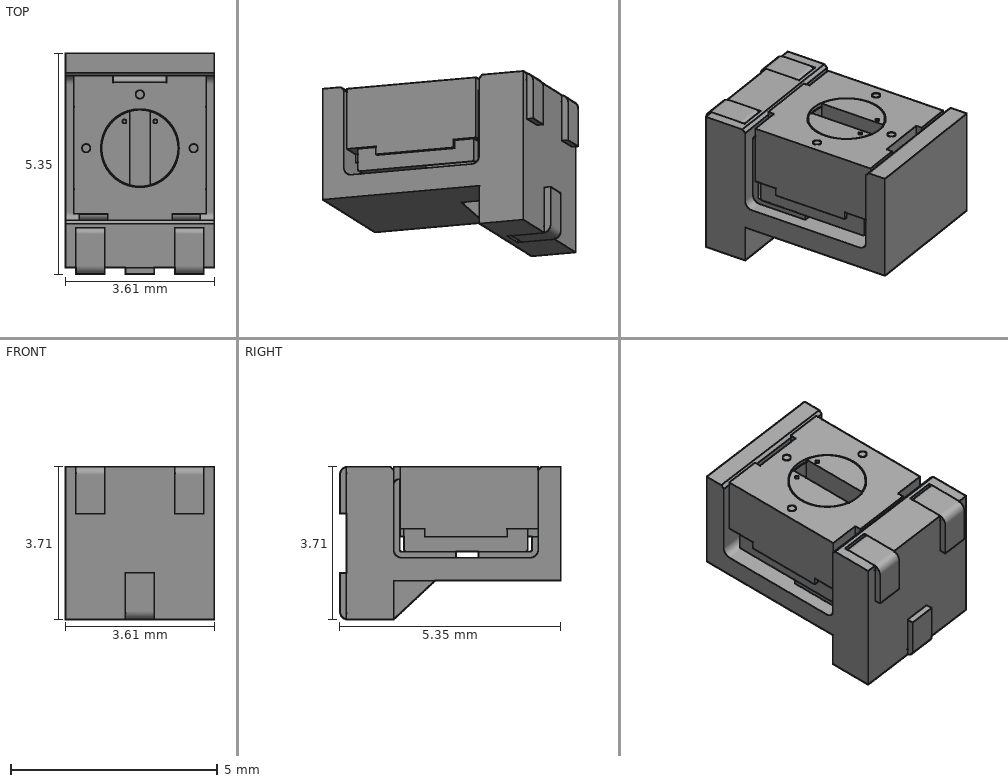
import cadquery as cq


WIDTH = 3.61
HEIGHT = 3.71
BLOCK_DEPTH = 1.14
BAY_LENGTH = 3.505
WALL_THICKNESS = 0.55
FLOOR_THICKNESS = 0.56
BAY_RADIUS = 0.2
RIM_CHAMFER = 0.08
GUSSET_LENGTH = 1.01
GUSSET_WIDTH = 0.7

TERMINAL_WIDTH = 0.7
TERMINAL_THICKNESS = 0.16
TERMINAL_BEND_RADIUS = 0.2
TERMINAL_END_RADIUS = 0.145
TERMINAL_REACH = 0.96
TERMINAL_HEIGHT = 1.135
TOP_TERMINAL_X = 1.2

CONTACT_THICKNESS = 0.15
CONTACT_TOP_RADIUS = 0.145
CONTACT_DROP = 0.3
FRONT_CONTACT_WIDTH = 0.68
FRONT_CONTACT_X = 1.125
FRONT_FOOT_LENGTH = 1.515
REAR_CONTACT_WIDTH = 1.285
REAR_FOOT_LENGTH = 1.45

COVER_WIDTH = 3.205
COVER_HEIGHT = 1.5
COVER_NOTCH_DEPTH = 0.16
FRONT_BRIDGE_WIDTH = 1.57
REAR_NOTCH_WIDTH = 1.31
SKIRT_WIDTH = 2.0
SKIRT_HEIGHT = 0.2
BASE_SIDE = 3.0
BASE_HEIGHT = 0.56
BASE_EDGE_RADIUS = 0.045

ROOF_THICKNESS = 0.1
ROTOR_RADIUS = 0.925
ROTOR_GAP = 0.02
SHOULDER_RADIUS = 1.07
SLOT_WIDTH = 0.505
SLOT_DEPTH = 0.6

MARK_DEPTH = 0.02
COVER_MARK_RADIUS = 0.1
COVER_MARK_OFFSET = 1.3
ROTOR_MARK_RADIUS = 0.05
ROTOR_MARK_X = 0.375
ROTOR_MARK_Y = 0.65

BAY_FRONT = BLOCK_DEPTH
BAY_REAR = BAY_FRONT + BAY_LENGTH
BAY_MIDDLE = (BAY_FRONT + BAY_REAR) / 2
HOUSING_DEPTH = BAY_REAR + WALL_THICKNESS
COVER_BOTTOM = HEIGHT - COVER_HEIGHT
BASE_BOTTOM = COVER_BOTTOM - BASE_HEIGHT
BAY_FLOOR = BASE_BOTTOM - CONTACT_THICKNESS
HOUSING_UNDERSIDE = BAY_FLOOR - FLOOR_THICKNESS
CONTACT_TOP = HEIGHT - CONTACT_DROP
SHOULDER_HEIGHT = COVER_HEIGHT - ROOF_THICKNESS


def box(width, depth, height, x_middle, y_front, z_bottom):
    """Block centred on x_middle, rising from z_bottom and running back from y_front."""
    block = cq.Workplane("XY").box(width, depth, height, centered=(True, False, False))
    return block.translate((x_middle, y_front, z_bottom))


def cylinder(radius, height, x, y, z_bottom):
    """Upright cylinder."""
    return cq.Workplane("XY").circle(radius).extrude(height).translate((x, y, z_bottom))


def extrude_across(profile, width, x_middle):
    """Extrude a Y-Z profile along X, centred on x_middle."""
    return profile.extrude(width / 2, both=True).translate((x_middle, 0, 0))


def mirror_in_height(body):
    """Mirror a body top to bottom about the middle height of the housing."""
    return body.mirror("XY", (0, 0, HEIGHT / 2))


def mirror_in_bay(body):
    """Mirror a body front to rear about the middle of the bay."""
    return body.mirror("XZ", (0, BAY_MIDDLE, 0))


def make_terminal(x_middle):
    """Strip on top of the housing that bends down over its front face; the rear end is rounded."""
    strip_bottom = HEIGHT - TERMINAL_THICKNESS
    profile = (
        cq.Workplane("YZ")
        .moveTo(-TERMINAL_THICKNESS, HEIGHT)
        .lineTo(TERMINAL_REACH, HEIGHT)
        .lineTo(TERMINAL_REACH, strip_bottom)
        .lineTo(0, strip_bottom)
        .lineTo(0, HEIGHT - TERMINAL_HEIGHT)
        .lineTo(-TERMINAL_THICKNESS, HEIGHT - TERMINAL_HEIGHT)
        .close()
    )
    strip = extrude_across(profile, TERMINAL_WIDTH, x_middle)
    strip = strip.edges("|X and >Z and <Y").fillet(TERMINAL_BEND_RADIUS)
    return strip.edges("|X and >Z and >Y").fillet(TERMINAL_END_RADIUS)


def make_terminal_pocket(x_middle):
    """Square-ended pocket in the top of the housing that takes the upper part of a terminal."""
    pocket_bottom = HEIGHT - TERMINAL_THICKNESS
    return box(TERMINAL_WIDTH, TERMINAL_REACH, TERMINAL_THICKNESS, x_middle, 0, pocket_bottom)


def make_housing():
    profile = (
        cq.Workplane("YZ")
        .moveTo(0, 0)
        .lineTo(BLOCK_DEPTH, 0)
        .lineTo(BLOCK_DEPTH, HOUSING_UNDERSIDE)
        .lineTo(HOUSING_DEPTH, HOUSING_UNDERSIDE)
        .lineTo(HOUSING_DEPTH, HEIGHT)
        .lineTo(BAY_REAR + RIM_CHAMFER, HEIGHT)
        .lineTo(BAY_REAR, HEIGHT - RIM_CHAMFER)
        .lineTo(BAY_REAR, BAY_FLOOR + BAY_RADIUS)
        .radiusArc((BAY_REAR - BAY_RADIUS, BAY_FLOOR), BAY_RADIUS)
        .lineTo(BAY_FRONT + BAY_RADIUS, BAY_FLOOR)
        .radiusArc((BAY_FRONT, BAY_FLOOR + BAY_RADIUS), BAY_RADIUS)
        .lineTo(BAY_FRONT, HEIGHT - RIM_CHAMFER)
        .lineTo(BAY_FRONT - RIM_CHAMFER, HEIGHT)
        .lineTo(0, HEIGHT)
        .close()
    )
    housing = extrude_across(profile, WIDTH, 0)

    gusset_profile = cq.Workplane("YZ").polyline([
        (BLOCK_DEPTH, 0),
        (BLOCK_DEPTH + GUSSET_LENGTH, HOUSING_UNDERSIDE),
        (BLOCK_DEPTH, HOUSING_UNDERSIDE),
    ]).close()
    housing = housing.union(extrude_across(gusset_profile, GUSSET_WIDTH, 0))

    for x in (-TOP_TERMINAL_X, TOP_TERMINAL_X):
        housing = housing.cut(make_terminal_pocket(x))
    return housing.cut(mirror_in_height(make_terminal_pocket(0)))


def make_contact(x_middle, width, foot_length):
    """Upright leg against the front of the bay with a foot running back under the base."""
    leg_rear = BAY_FRONT + CONTACT_THICKNESS
    foot_end = BAY_FRONT + foot_length
    profile = (
        cq.Workplane("YZ")
        .moveTo(BAY_FRONT, CONTACT_TOP)
        .lineTo(leg_rear, CONTACT_TOP)
        .lineTo(leg_rear, BAY_FLOOR + BAY_RADIUS)
        .radiusArc((BAY_FRONT + BAY_RADIUS, BASE_BOTTOM), CONTACT_THICKNESS - BAY_RADIUS)
        .lineTo(foot_end, BASE_BOTTOM)
        .lineTo(foot_end, BAY_FLOOR)
        .lineTo(BAY_FRONT + BAY_RADIUS, BAY_FLOOR)
        .radiusArc((BAY_FRONT, BAY_FLOOR + BAY_RADIUS), BAY_RADIUS)
        .close()
    )
    strip = extrude_across(profile, width, x_middle)
    return strip.edges("|X and >Z and <Y").fillet(CONTACT_TOP_RADIUS)


def make_rear_contact():
    return mirror_in_bay(make_contact(0, REAR_CONTACT_WIDTH, REAR_FOOT_LENGTH))


def make_base():
    base = box(BASE_SIDE, BASE_SIDE, BASE_HEIGHT, 0, BAY_MIDDLE - BASE_SIDE / 2, BASE_BOTTOM)
    return base.edges("|X and <Z").fillet(BASE_EDGE_RADIUS)


def make_cover():
    cover = box(COVER_WIDTH, BAY_LENGTH, COVER_HEIGHT, 0, BAY_FRONT, COVER_BOTTOM)

    skirt_bottom = COVER_BOTTOM - SKIRT_HEIGHT
    side_tabs = box(COVER_WIDTH, SKIRT_WIDTH, SKIRT_HEIGHT, 0, BAY_MIDDLE - SKIRT_WIDTH / 2, skirt_bottom)
    end_tabs = box(SKIRT_WIDTH, BAY_LENGTH, SKIRT_HEIGHT, 0, BAY_FRONT, skirt_bottom)
    base_room = box(BASE_SIDE, BASE_SIDE, SKIRT_HEIGHT, 0, BAY_MIDDLE - BASE_SIDE / 2, skirt_bottom)
    cover = cover.union(side_tabs).union(end_tabs).cut(base_room)

    notch_height = COVER_HEIGHT + SKIRT_HEIGHT
    corner_width = (COVER_WIDTH - FRONT_BRIDGE_WIDTH) / 2
    corner_x = (COVER_WIDTH - corner_width) / 2
    for x in (-corner_x, corner_x):
        cover = cover.cut(box(corner_width, COVER_NOTCH_DEPTH, notch_height, x, BAY_FRONT, skirt_bottom))
    rear_notch_front = BAY_REAR - COVER_NOTCH_DEPTH
    cover = cover.cut(
        box(REAR_NOTCH_WIDTH, COVER_NOTCH_DEPTH, notch_height, 0, rear_notch_front, skirt_bottom)
    )

    cover = cover.cut(cylinder(ROTOR_RADIUS + ROTOR_GAP, COVER_HEIGHT, 0, BAY_MIDDLE, COVER_BOTTOM))
    cover = cover.cut(cylinder(SHOULDER_RADIUS, SHOULDER_HEIGHT, 0, BAY_MIDDLE, COVER_BOTTOM))

    for x, y in ((-COVER_MARK_OFFSET, 0), (COVER_MARK_OFFSET, 0), (0, COVER_MARK_OFFSET)):
        cover = cover.cut(cylinder(COVER_MARK_RADIUS, MARK_DEPTH, x, BAY_MIDDLE + y, HEIGHT - MARK_DEPTH))
    return cover


def make_rotor():
    disc = cylinder(ROTOR_RADIUS, COVER_HEIGHT, 0, BAY_MIDDLE, COVER_BOTTOM)
    rotor = disc.union(cylinder(SHOULDER_RADIUS, SHOULDER_HEIGHT, 0, BAY_MIDDLE, COVER_BOTTOM))

    slot_bar = box(
        SLOT_WIDTH, 2 * ROTOR_RADIUS, SLOT_DEPTH, 0, BAY_MIDDLE - ROTOR_RADIUS, HEIGHT - SLOT_DEPTH
    )
    rotor = rotor.cut(slot_bar.intersect(disc))

    mark_y = BAY_MIDDLE + ROTOR_MARK_Y
    for x in (-ROTOR_MARK_X, ROTOR_MARK_X):
        rotor = rotor.cut(cylinder(ROTOR_MARK_RADIUS, MARK_DEPTH, x, mark_y, HEIGHT - MARK_DEPTH))
    return rotor


housing = make_housing()
top_terminals = [make_terminal(x) for x in (-TOP_TERMINAL_X, TOP_TERMINAL_X)]
bottom_terminal = mirror_in_height(make_terminal(0))
front_contacts = [
    make_contact(x, FRONT_CONTACT_WIDTH, FRONT_FOOT_LENGTH)
    for x in (-FRONT_CONTACT_X, FRONT_CONTACT_X)
]
rear_contact = make_rear_contact()
base = make_base()
cover = make_cover()
rotor = make_rotor()

bodies = [housing, *top_terminals, bottom_terminal, *front_contacts, rear_contact, base, cover, rotor]
result = cq.Compound.makeCompound([body.solids().val() for body in bodies])